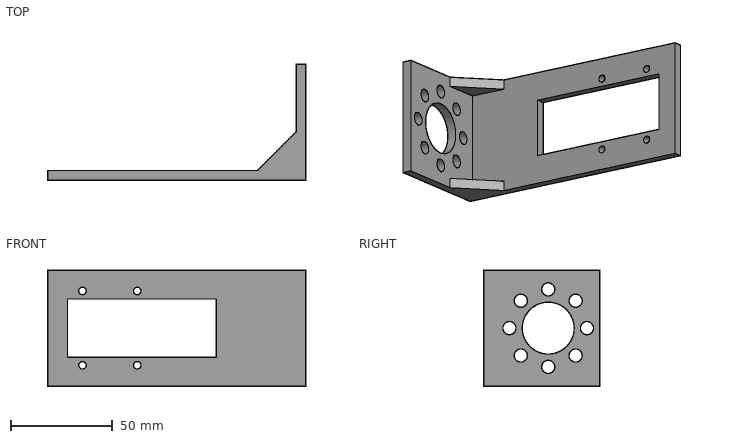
import cadquery as cq

INCH = 25.4

length = 5 * INCH
depth = 2.25 * INCH
height = 2.25 * INCH
thickness = 0.19 * INCH
mid_height = height / 2

gusset_leg = 0.75 * INCH

window_start = 9.8
window_length = 2.875 * INCH
window_height = 1.125 * INCH

screw_diameter = 9 / 64 * INCH
screw_start = 17.145
screw_pitch_x = 26.95
screw_pitch_z = 36.55

bore_diameter = 1.0 * INCH
bore_y = 1.25 * INCH
bolt_circle_diameter = 1.5 * INCH
bolt_diameter = 0.25 * INCH
bolt_count = 8


def make_angle():
    """L-shaped body: long plate on the XZ plane, flange at the +X end."""
    plate = cq.Workplane("XY").box(length, thickness, height, centered=False)
    flange = (
        cq.Workplane("XY")
        .box(thickness, depth, height, centered=False)
        .translate((length - thickness, 0, 0))
    )
    return plate.union(flange)


def make_gusset(bottom_z):
    """Right-angled web filling the inside corner, starting at bottom_z."""
    corner_x = length - thickness
    corner_y = thickness
    return (
        cq.Workplane("XY", origin=(0, 0, bottom_z))
        .moveTo(corner_x, corner_y)
        .lineTo(corner_x - gusset_leg, corner_y)
        .lineTo(corner_x, corner_y + gusset_leg)
        .close()
        .extrude(thickness)
    )


def make_window():
    """Cutter for the rectangular opening through the long plate."""
    return (
        cq.Workplane("XY")
        .box(window_length, thickness, window_height, centered=False)
        .translate((window_start, 0, mid_height - window_height / 2))
    )


def make_screw_holes():
    """Cutter for the four screw holes through the long plate."""
    pattern_center_x = screw_start + screw_pitch_x / 2
    return (
        cq.Workplane("XZ", origin=(pattern_center_x, 0, mid_height))
        .rarray(screw_pitch_x, screw_pitch_z, 2, 2)
        .circle(screw_diameter / 2)
        .extrude(-thickness)
    )


def make_flange_holes():
    """Cutter for the central bore and its bolt circle through the flange."""
    flange_face = cq.Workplane("YZ", origin=(length - thickness, bore_y, mid_height))
    bore = flange_face.circle(bore_diameter / 2).extrude(thickness)
    bolts = (
        flange_face.polarArray(bolt_circle_diameter / 2, 0, 360, bolt_count)
        .circle(bolt_diameter / 2)
        .extrude(thickness)
    )
    return bore.union(bolts)


result = make_angle()
for gusset_bottom in (0, height - thickness):
    result = result.union(make_gusset(gusset_bottom))
result = result.cut(make_window()).cut(make_screw_holes()).cut(make_flange_holes())